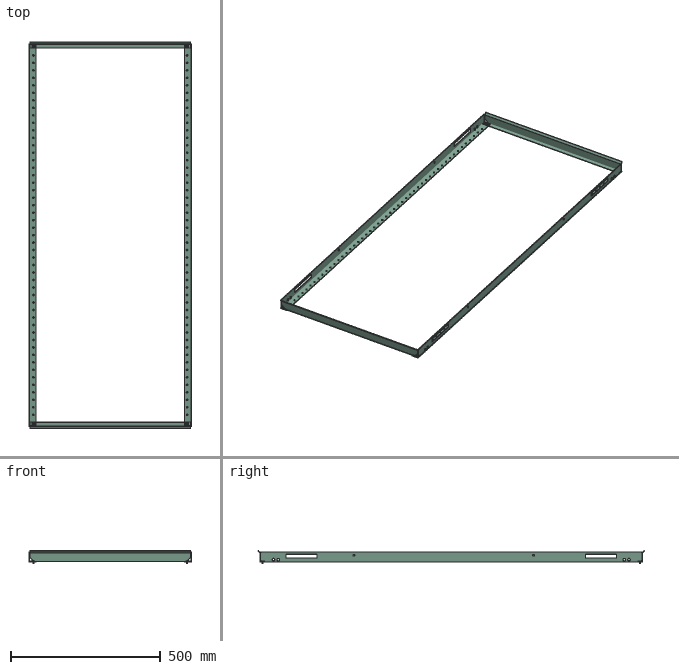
import cadquery as cq
import math

frame_width = 542.4
frame_length = 1290.14
frame_height = 42.77
sheet = 1.5
bend_inner_radius = 0.5
bend_outer_radius = bend_inner_radius + sheet
screw_protrusion = 4.77
side_face_x = frame_width / 2

lip_angle = math.radians(45)
lip_run = 6.7
lip_edge_run = sheet * math.cos(lip_angle)
lip_edge_rise = sheet * math.sin(lip_angle)
lip_top_z = frame_height - screw_protrusion
lip_base_z = lip_top_z - lip_edge_rise - lip_run / math.tan(lip_angle)
end_face_y = frame_length / 2 - lip_run
end_inner_y = end_face_y - sheet
end_flange_width = 14.0
end_side_gap = 1.0
end_half_width = side_face_x - sheet - end_side_gap
corner_cut = 14.0

side_height = 34.0
side_flange_width = 24.0

slot_length = 102.0
slot_height = 12.0
slot_y = 500.0
slot_z = 20.0
round_hole_diameter = 8.0
round_hole_ys = (577.5, 593.5)
round_hole_z = 8.0
offset_hole_diameter = 6.0
offset_hole_spacing = 600.0
offset_hole_shift = 25.0
offset_hole_z = 22.5

flange_hole_diameter = 4.0
flange_hole_pitch = 25.0
flange_hole_count = 49

screw_x = side_face_x - 14.7
screw_y = 630.5
screw_diameter = 4.0
screw_head_diameter = 11.0
screw_head_height = 1.8
screw_head_round = 1.0


def make_side_rail():
    """The side rail on the -X side."""
    face_x = -side_face_x
    rail = (
        cq.Workplane("XZ")
        .moveTo(face_x, side_height)
        .lineTo(face_x, bend_outer_radius)
        .radiusArc((face_x + bend_outer_radius, 0), -bend_outer_radius)
        .lineTo(face_x + side_flange_width, 0)
        .lineTo(face_x + side_flange_width, sheet)
        .lineTo(face_x + bend_outer_radius, sheet)
        .radiusArc((face_x + sheet, bend_outer_radius), bend_inner_radius)
        .lineTo(face_x + sheet, side_height)
        .close()
        .extrude(end_face_y, both=True)
    )

    for end in (-1, 1):
        wall_end = cq.Workplane("XY", origin=(face_x, end * (end_inner_y + sheet / 2), bend_outer_radius))
        rail = rail.cut(wall_end.box(2 * bend_outer_radius, sheet, side_height, centered=(True, True, False)))

    wall = cq.Workplane("YZ", origin=(face_x, 0, 0))
    slots = wall.pushPoints([(-slot_y, slot_z), (slot_y, slot_z)])
    rail = rail.cut(slots.rect(slot_length, slot_height).extrude(sheet))
    round_holes = wall.pushPoints([(end * y, round_hole_z) for end in (-1, 1) for y in round_hole_ys])
    rail = rail.cut(round_holes.circle(round_hole_diameter / 2).extrude(sheet))
    offset_holes = wall.center(offset_hole_shift, offset_hole_z).rarray(offset_hole_spacing, 1, 2, 1)
    rail = rail.cut(offset_holes.circle(offset_hole_diameter / 2).extrude(sheet))

    hole_row = cq.Workplane("XY").center(-screw_x, 0)
    flange_holes = hole_row.rarray(1, flange_hole_pitch, 1, flange_hole_count)
    rail = rail.cut(flange_holes.circle(flange_hole_diameter / 2).extrude(sheet))
    screw_holes = hole_row.pushPoints([(0, -screw_y), (0, screw_y)])
    return rail.cut(screw_holes.circle(screw_diameter / 2).extrude(sheet))


def make_end_rail():
    """The end rail on the -Y end; its flange rests on the side flanges."""
    face_y = -end_face_y
    inner_y = -end_inner_y
    flange_z = sheet
    miter = sheet * math.tan(lip_angle / 2)
    rail = (
        cq.Workplane("YZ")
        .moveTo(face_y, lip_base_z)
        .lineTo(face_y, flange_z + bend_outer_radius)
        .radiusArc((face_y + bend_outer_radius, flange_z), -bend_outer_radius)
        .lineTo(face_y + end_flange_width, flange_z)
        .lineTo(face_y + end_flange_width, flange_z + sheet)
        .lineTo(face_y + bend_outer_radius, flange_z + sheet)
        .radiusArc((inner_y, flange_z + bend_outer_radius), bend_inner_radius)
        .lineTo(inner_y, lip_base_z + miter)
        .lineTo(face_y - lip_run + lip_edge_run, lip_top_z)
        .lineTo(face_y - lip_run, lip_top_z - lip_edge_rise)
        .close()
        .extrude(end_half_width, both=True)
    )

    for side in (-1, 1):
        corner_x = side * end_half_width
        corner = (
            cq.Workplane("XZ", origin=(0, face_y, 0))
            .moveTo(corner_x, flange_z)
            .lineTo(corner_x - side * corner_cut, flange_z)
            .lineTo(corner_x, flange_z + corner_cut)
            .close()
            .extrude(-bend_outer_radius)
        )
        rail = rail.cut(corner)
    screw_holes = cq.Workplane("XY", origin=(0, -screw_y, flange_z)).rarray(2 * screw_x, 1, 2, 1)
    return rail.cut(screw_holes.circle(screw_diameter / 2).extrude(sheet))


def make_screw(x, y):
    """A screw with a rounded head on top of both flanges."""
    head_z = 2 * sheet
    shank = (
        cq.Workplane("XY", origin=(x, y, -screw_protrusion))
        .circle(screw_diameter / 2)
        .extrude(head_z + screw_protrusion)
    )
    head = (
        cq.Workplane("XY", origin=(x, y, head_z))
        .circle(screw_head_diameter / 2)
        .extrude(screw_head_height)
        .faces(">Z")
        .edges()
        .fillet(screw_head_round)
    )
    return shank.union(head)


side_rail = make_side_rail()
side_rails = [side_rail, side_rail.rotate((0, 0, 0), (0, 0, 1), 180)]
end_rail = make_end_rail()
end_rails = [end_rail, end_rail.mirror("XZ")]
screws = [make_screw(x_side * screw_x, y_side * screw_y) for x_side in (-1, 1) for y_side in (-1, 1)]

bodies = side_rails + end_rails + screws
result = cq.Compound.makeCompound([body.val() for body in bodies])